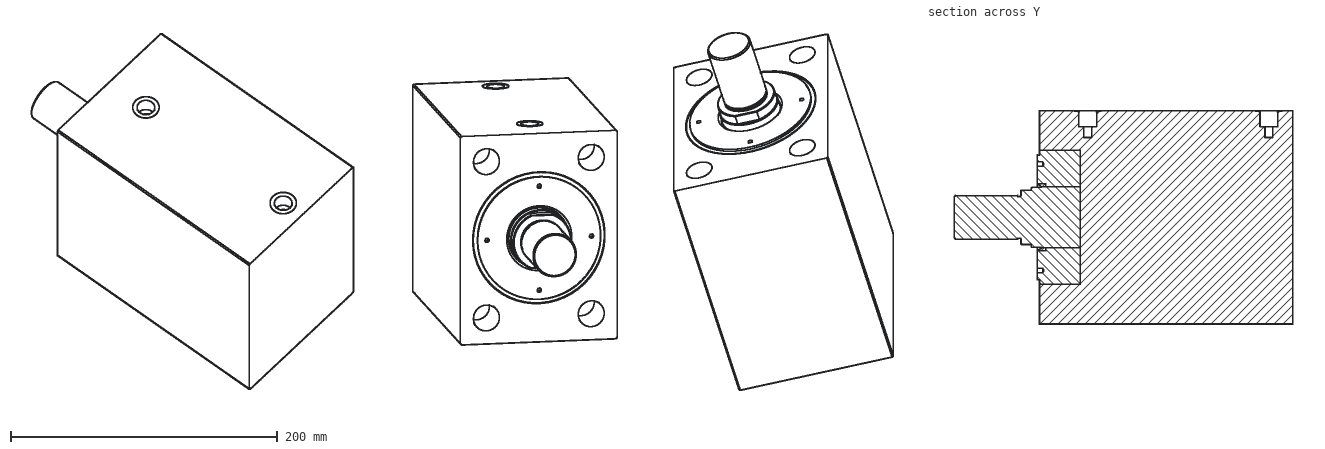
import cadquery as cq
import math


total_length = 254.0
rod_reach = 64.0
block_length = total_length - rod_reach
block_width = 120.0
block_height = 160.0
block_chamfer = 1.0

gland_radius = 50.0
gland_depth = 30.5
boss_radius = 47.0
boss_height = 1.8
mouth_chamfer = 0.5

drill_point_angle = 118.0

spanner_hole_radius = 1.5
spanner_hole_circle = 40.0
spanner_hole_depth = 4.0
spanner_hole_count = 4

rod_radius = 22.5
shoulder_taper = 0.8
shoulder_reach = 6.4
collar_radius = 22.0
collar_reach = 14.0
collar_chamfer = 0.5
across_flats = 41.0
neck_radius = 15.7
neck_flare = 0.8
neck_reach = 16.3
stud_radius = 16.5
stud_chamfer = 1.0

wiper_radius = 25.0
wiper_throat_radius = 23.0
wiper_lip_depth = 3.0
wiper_length = 6.0
wiper_seat = wiper_length - boss_height

mount_hole_radius = 10.0
mount_hole_depth = 40.0
mount_spacing_y = 80.0
mount_spacing_z = 120.0

port_positions = [36.0, block_length - 18.0]
spotface_diameter = 19.8
spotface_depth = 0.3
port_diameter = 13.2
port_depth = 12.0
oilway_diameter = 5.5
oilway_depth = 20.0


def turned(profile):
    """Solid of revolution about X from (x, radius) points."""
    return cq.Workplane("XY").polyline(profile).close().revolve(360, (0, 0, 0), (1, 0, 0))


def drilled_hole(radius, depth, x, y, z):
    """Cutter for a blind hole along +X with a conical drill point, starting at (x, y, z)."""
    point_length = radius / math.tan(math.radians(drill_point_angle / 2))
    cutter = turned([
        (0, 0),
        (0, radius),
        (depth, radius),
        (depth + point_length, 0),
    ])
    return cutter.translate((x, y, z))


def port(x):
    """Cutter for a spotfaced port with an oilway at its bottom."""
    top = cq.Workplane("XY", origin=(x, 0, block_height / 2))
    cutter = top.circle(spotface_diameter / 2).extrude(-spotface_depth)
    cutter = cutter.union(top.circle(port_diameter / 2).extrude(-port_depth))
    return cutter.union(top.circle(oilway_diameter / 2).extrude(-oilway_depth))


def make_block():
    block = (
        cq.Workplane("XY")
        .box(block_length, block_width, block_height)
        .translate((block_length / 2, 0, 0))
        .edges("|X")
        .chamfer(block_chamfer)
    )
    gland_pocket = turned([
        (0, 0),
        (0, gland_radius + mouth_chamfer),
        (mouth_chamfer, gland_radius),
        (gland_depth, gland_radius),
        (gland_depth, 0),
    ])
    block = block.cut(gland_pocket)
    for y in (-mount_spacing_y / 2, mount_spacing_y / 2):
        for z in (-mount_spacing_z / 2, mount_spacing_z / 2):
            block = block.cut(drilled_hole(mount_hole_radius, mount_hole_depth, 0, y, z))
    for x in port_positions:
        block = block.cut(port(x))
    return block


def make_gland():
    gland = turned([
        (-boss_height, wiper_radius),
        (-boss_height, boss_radius),
        (0, boss_radius),
        (0, gland_radius),
        (gland_depth, gland_radius),
        (gland_depth, rod_radius),
        (wiper_seat, rod_radius),
        (wiper_seat, wiper_radius),
    ])
    for i in range(spanner_hole_count):
        angle = 2 * math.pi * i / spanner_hole_count
        y = spanner_hole_circle * math.cos(angle)
        z = spanner_hole_circle * math.sin(angle)
        gland = gland.cut(drilled_hole(spanner_hole_radius, spanner_hole_depth, -boss_height, y, z))
    return gland


def make_wiper():
    lip_bottom = wiper_lip_depth - boss_height
    return turned([
        (-boss_height, wiper_radius),
        (wiper_seat, wiper_radius),
        (wiper_seat, rod_radius),
        (lip_bottom, rod_radius),
        (lip_bottom, wiper_throat_radius),
    ])


def make_rod():
    shaft = turned([
        (gland_depth, 0),
        (gland_depth, rod_radius),
        (-shoulder_reach + shoulder_taper, rod_radius),
        (-shoulder_reach, collar_radius),
        (-collar_reach, collar_radius),
        (-collar_reach, 0),
    ])
    flat_depth = collar_radius - across_flats / 2
    flat_length = collar_reach - shoulder_reach
    for side in (-1, 1):
        flat_cutter = cq.Workplane("XY").box(flat_length, 2 * collar_radius, flat_depth)
        flat_x = -shoulder_reach - flat_length / 2
        flat_z = side * (across_flats + flat_depth) / 2
        shaft = shaft.cut(flat_cutter.translate((flat_x, 0, flat_z)))
    shaft = shaft.faces("<X").edges().chamfer(collar_chamfer)
    stud = turned([
        (-collar_reach, 0),
        (-collar_reach, neck_radius + neck_flare),
        (-collar_reach - neck_flare, neck_radius),
        (-neck_reach, neck_radius),
        (-neck_reach, stud_radius),
        (-rod_reach + stud_chamfer, stud_radius),
        (-rod_reach, stud_radius - stud_chamfer),
        (-rod_reach, 0),
    ])
    return shaft.union(stud)


block = make_block()
gland = make_gland()
wiper = make_wiper()
rod = make_rod()

result = cq.Compound.makeCompound([block.val(), gland.val(), wiper.val(), rod.val()])